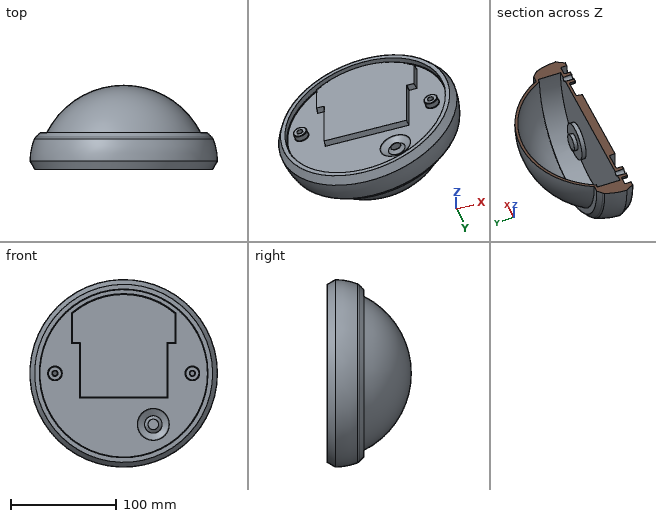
import cadquery as cq
import math

outer_radius = 89.0
total_depth = 80.0
wall = 3.0

front_rim_radius = 84.4
widest_y = 8.0
side_end_y = 29.0
side_end_radius = 84.9
side_mid_y = 18.7
side_mid_radius = 88.0
bevel_start_y = 30.6
bevel_start_radius = 83.7
shoulder_y = 34.9
shoulder_radius = 79.2
cavity_radius = 148.0 / 2

dome_base_radius = 146.1 / 2
dome_height = total_depth - shoulder_y
dome_sphere_radius = (dome_base_radius**2 + dome_height**2) / (2 * dome_height)
dome_center_y = total_depth - dome_sphere_radius

floor_y = 6.2
recess_rim_radius = 160.0 / 2
recess_floor_radius = 79.4
recess_edge = 0.5

panel_height = 5.9
panel_draft = 0.9
panel_arc_radius = 75.6
panel_upper_half_width = 49.5
panel_lower_half_width = 41.8
panel_ledge_z = 28.5
panel_bottom_z = -23.3

peg_x = 65.1
peg_height = 6.2
peg_radius = 6.5
peg_foot_radius = 7.0
peg_edge = 0.5
peg_tip_radius = 12.3 / 2
peg_hole_mouth_radius = 2.8
peg_hole_radius = 4.6 / 2

dish_x = 28.1
dish_z = -48.5
dish_lip_radius = 15.1
dish_radius = 14.6
dish_lip_depth = 0.4
dish_depth = 4.3
stub_base_radius = 16.5 / 2
stub_hole_radius = 10.0 / 2
stub_tip_depth = 0.9
stub_hole_depth = 8.0


def revolve_about_y(profile):
    """Turn a closed XY profile about the Y axis."""
    return profile.close().revolve(360, (0, 0, 0), (0, 1, 0))


def shell_body():
    """Ring and dome as one solid of revolution."""
    dome_mid_angle = (math.asin((shoulder_y - dome_center_y) / dome_sphere_radius) + math.pi / 2) / 2
    dome_mid = (
        dome_sphere_radius * math.cos(dome_mid_angle),
        dome_center_y + dome_sphere_radius * math.sin(dome_mid_angle),
    )
    return revolve_about_y(
        cq.Workplane("XY")
        .lineTo(front_rim_radius, 0)
        .lineTo(outer_radius, widest_y)
        .threePointArc((side_mid_radius, side_mid_y), (side_end_radius, side_end_y))
        .lineTo(bevel_start_radius, bevel_start_y)
        .lineTo(shoulder_radius, shoulder_y)
        .lineTo(dome_base_radius, shoulder_y)
        .threePointArc(dome_mid, (0, total_depth))
    )


def inner_cavity():
    """Hollow behind the floor plate, following the ring and the dome."""
    start_y = floor_y + wall
    end_y = shoulder_y - wall
    bore = cq.Workplane("XZ", origin=(0, start_y, 0)).circle(cavity_radius).extrude(start_y - end_y)
    sphere = cq.Workplane("XY").sphere(dome_sphere_radius - wall).translate((0, dome_center_y, 0))
    dome_space = (
        cq.Workplane("XZ", origin=(0, end_y, 0))
        .circle(cavity_radius)
        .extrude(end_y - total_depth)
        .intersect(sphere)
    )
    return bore.union(dome_space)


def front_recess():
    """Straight recess with a bevelled edge around the floor."""
    return revolve_about_y(
        cq.Workplane("XY")
        .lineTo(recess_rim_radius, 0)
        .lineTo(recess_rim_radius, floor_y - recess_edge)
        .lineTo(recess_floor_radius, floor_y)
        .lineTo(0, floor_y)
    )


def raised_panel():
    """Stepped panel with an arched top edge and drafted sides."""
    corner_z = math.sqrt(panel_arc_radius**2 - panel_upper_half_width**2)
    draft_angle = math.degrees(math.atan(panel_draft / panel_height))
    return (
        cq.Workplane("XZ", origin=(0, floor_y, 0))
        .moveTo(-panel_lower_half_width, panel_bottom_z)
        .lineTo(panel_lower_half_width, panel_bottom_z)
        .lineTo(panel_lower_half_width, panel_ledge_z)
        .lineTo(panel_upper_half_width, panel_ledge_z)
        .lineTo(panel_upper_half_width, corner_z)
        .threePointArc((0, panel_arc_radius), (-panel_upper_half_width, corner_z))
        .lineTo(-panel_upper_half_width, panel_ledge_z)
        .lineTo(-panel_lower_half_width, panel_ledge_z)
        .close()
        .extrude(panel_height, taper=draft_angle)
    )


def peg():
    """Peg with a bevelled tip and a flared foot, on the Y axis."""
    tip_y = floor_y - peg_height
    return revolve_about_y(
        cq.Workplane("XY")
        .moveTo(0, tip_y)
        .lineTo(peg_tip_radius, tip_y)
        .lineTo(peg_radius, tip_y + peg_edge)
        .lineTo(peg_radius, floor_y - peg_edge)
        .lineTo(peg_foot_radius, floor_y)
        .lineTo(0, floor_y)
    )


def peg_hole():
    """Tapered hole through a peg and the floor plate into the cavity."""
    tip_y = floor_y - peg_height
    end_y = floor_y + wall
    return revolve_about_y(
        cq.Workplane("XY")
        .moveTo(0, tip_y)
        .lineTo(peg_hole_mouth_radius, tip_y)
        .lineTo(peg_hole_radius, end_y)
        .lineTo(0, end_y)
    )


def dish_backing():
    """Material behind the dish and behind the blind hole of its stub."""
    plate = cq.Workplane("XZ", origin=(0, floor_y, 0))
    dish_back = plate.circle(dish_lip_radius + wall).extrude(-dish_depth - wall)
    hole_back = plate.circle(stub_base_radius).extrude(-stub_hole_depth - wall)
    return dish_back.union(hole_back)


def dish_cut():
    """Conical dish that leaves a conical stub with a blind hole."""
    bottom_y = floor_y + dish_depth
    lip_y = floor_y + dish_lip_depth
    hole_end_y = floor_y + stub_hole_depth
    return revolve_about_y(
        cq.Workplane("XY")
        .moveTo(0, floor_y)
        .lineTo(dish_lip_radius, floor_y)
        .lineTo(dish_radius, lip_y)
        .lineTo(stub_base_radius, bottom_y)
        .lineTo(stub_hole_radius, floor_y + stub_tip_depth)
        .lineTo(stub_hole_radius, hole_end_y)
        .lineTo(0, hole_end_y)
    )


dish_place = (dish_x, 0, dish_z)

result = shell_body().cut(inner_cavity()).cut(front_recess()).union(raised_panel())
for side in (-1, 1):
    peg_place = (side * peg_x, 0, 0)
    result = result.union(peg().translate(peg_place)).cut(peg_hole().translate(peg_place))
result = result.union(dish_backing().translate(dish_place)).cut(dish_cut().translate(dish_place))